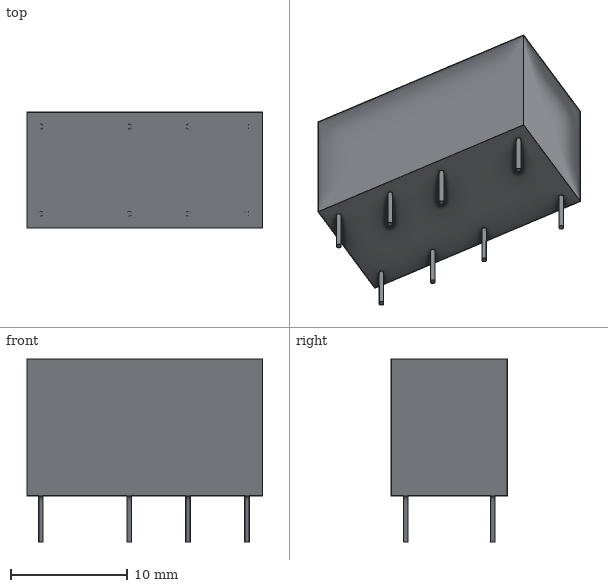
import cadquery as cq

length = 20.3
width = 10.0
height = 11.8

pin_diameter = 0.4
pin_length = 4.0
pin_pitch = 5.08
first_gap = 7.61
row_spacing = 7.51
coil_pin_x = -8.95
contact_pin_count = 3

contact_pins_x = [coil_pin_x + first_gap + i * pin_pitch for i in range(contact_pin_count)]
pin_columns = [coil_pin_x] + contact_pins_x
pin_rows = [-row_spacing / 2, row_spacing / 2]


def make_housing():
    """Plain rectangular block with its underside at Z = 0."""
    return cq.Workplane("XY").box(length, width, height, centered=(True, True, False))


def make_pin(x, y):
    """One terminal hanging down from the underside of the housing."""
    return cq.Workplane("XY").center(x, y).circle(pin_diameter / 2).extrude(-pin_length)


housing = make_housing()
pins = [make_pin(x, y) for x in pin_columns for y in pin_rows]

result = cq.Compound.makeCompound([housing.val(), *[pin.val() for pin in pins]])